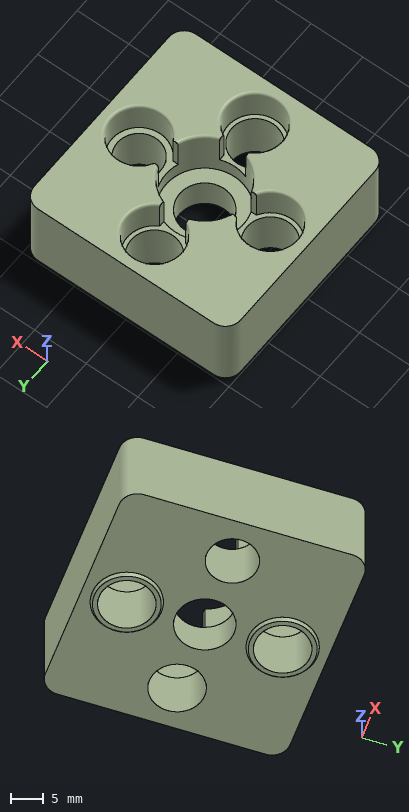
import cadquery as cq
import math

side = 40.0
corner_radius = 3.0
body_height = 15.0
foot_height = 0.6
top_z = body_height / 2
bottom_z = -body_height / 2

well_diameter = 15.0
well_depth = 9.0
lobe_diameter = 10.5
lobe_rim_diameter = 11.5
lobe_offset = 12.7
lobe_depth = 6.0
channel_width = 5.05
rim_radius = (lobe_rim_diameter - lobe_diameter) / 2

center_hole_diameter = 9.6
lobe_hole_diameter = 9.0
small_hole_diameter = 8.35

foot_diameter = 11.3
foot_taper = 30.0

small_lobe = (lobe_offset, 0)
left_lobe = (-lobe_offset, 0)
foot_lobes = [(0, lobe_offset), (0, -lobe_offset)]
lobes = [small_lobe, left_lobe] + foot_lobes


def cylinder_down(center, diameter, from_z, depth):
    """Vertical cylinder reaching down from the level from_z."""
    plane = cq.Workplane("XY", origin=(center[0], center[1], from_z))
    return plane.circle(diameter / 2).extrude(-depth)


def rounded_rim_pocket(center, diameter, depth):
    """Round pocket in the top face, flared by a quarter-round at its rim."""
    radius = diameter / 2
    arc_drop = rim_radius * (1 - math.sqrt(0.5))
    profile = (
        cq.Workplane("XZ")
        .moveTo(0, 0)
        .lineTo(radius + rim_radius, 0)
        .threePointArc((radius + arc_drop, -arc_drop), (radius, -rim_radius))
        .lineTo(radius, -depth)
        .lineTo(0, -depth)
        .close()
    )
    pocket = profile.revolve(360, (0, 0, 0), (0, 1, 0))
    return pocket.translate((center[0], center[1], top_z))


def make_body():
    block = cq.Workplane("XY").box(side, side, body_height)
    return block.edges("|Z").fillet(corner_radius)


def make_foot(center):
    """Tapered foot, narrower at its lower face."""
    plane = cq.Workplane("XY", origin=(center[0], center[1], bottom_z))
    return plane.circle(foot_diameter / 2).extrude(-foot_height, taper=foot_taper)


def make_recess():
    recess = rounded_rim_pocket((0, 0), well_diameter, well_depth)
    for lobe in lobes:
        recess = recess.union(rounded_rim_pocket(lobe, lobe_diameter, lobe_depth))
    channel_z = top_z - lobe_depth / 2
    length = 2 * lobe_offset
    for size_x, size_y in [(length, channel_width), (channel_width, length)]:
        channel = cq.Workplane("XY").box(size_x, size_y, lobe_depth)
        recess = recess.union(channel.translate((0, 0, channel_z)))
    return recess


def make_through_holes():
    through_depth = body_height + foot_height
    holes = cylinder_down((0, 0), center_hole_diameter, top_z, through_depth)
    for lobe in lobes:
        diameter = small_hole_diameter if lobe == small_lobe else lobe_hole_diameter
        holes = holes.union(cylinder_down(lobe, diameter, top_z, through_depth))
    return holes


part = make_body()
for lobe in foot_lobes:
    part = part.union(make_foot(lobe))

result = part.cut(make_recess()).cut(make_through_holes())